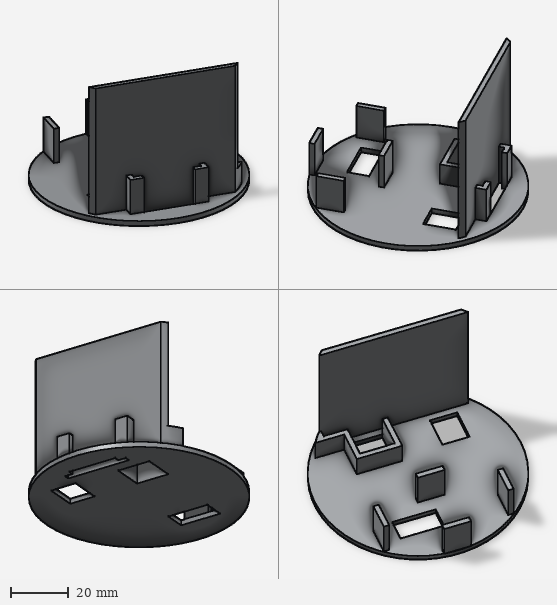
import cadquery as cq

disc_diameter = 76.2
thickness = 2.0
total_height = 50.0

trim_radius = 36.1
wall_left = 23.3
wall_right = wall_left + thickness
wall_height = total_height - thickness

slot_half_length = 12.5
slot_right = wall_right + 2 * thickness
clip_half_gap = 9.45
post_height = 13.0

window_left = 8.9
window_right = 20.8
upper_window_bottom = 5.1
upper_window_top = 18.0
lower_window_bottom = -22.55
lower_window_top = -slot_half_length
side_window_left = -25.8
side_window_right = -17.8
side_window_bottom = 0.4
side_window_top = 16.45

bracket_height = 8.0
arm_thickness = 1.8
arm_inner_top = 26.8

holder_x = -24.3
post_width = 10.0
post_offset_x = 12.6
post_offset_y = 23.0


def block(left, right, bottom, top, height, base=thickness):
    """Upright block between two X and two Y limits."""
    return (
        cq.Workplane("XY", origin=(left, bottom, base))
        .box(right - left, top - bottom, height, centered=False)
    )


def through_window(left, right, bottom, top):
    """Cutter through the full thickness of the disc."""
    return block(left, right, bottom, top, thickness, base=0)


def trimmed(body):
    """Keep only the part of a body inside the trimming circle."""
    return body.intersect(cq.Workplane("XY").circle(trim_radius).extrude(total_height))


def make_disc():
    disc = cq.Workplane("XY").circle(disc_diameter / 2).extrude(thickness)
    disc = disc.cut(through_window(window_left, window_right, upper_window_bottom, upper_window_top))
    disc = disc.cut(through_window(window_left, window_right, lower_window_bottom, lower_window_top))
    disc = disc.cut(
        through_window(side_window_left, side_window_right, side_window_bottom, side_window_top)
    )
    return disc.cut(through_window(wall_right, slot_right, -clip_half_gap, clip_half_gap)).cut(
        through_window(wall_right, slot_right - thickness, -slot_half_length, slot_half_length)
    )


def make_wall():
    return trimmed(block(wall_left, wall_right, -trim_radius, trim_radius, wall_height))


def make_bracket():
    """Three-sided frame around the window, with an arm returning to the wall."""
    arm_left = window_right - arm_thickness
    frame_left = window_left - thickness
    frame_bottom = upper_window_bottom - thickness
    frame_top = upper_window_top + thickness
    frame = block(frame_left, window_right, frame_bottom, frame_top, bracket_height).cut(
        block(window_left, window_right, upper_window_bottom, upper_window_top, bracket_height)
    )
    arm = block(arm_left, wall_left, upper_window_top, trim_radius, bracket_height).cut(
        block(window_right, wall_left, upper_window_top, arm_inner_top, bracket_height)
    )
    return frame.union(trimmed(arm))


def make_clip():
    """L-shaped clip at the +Y end of the slot."""
    clip_top = slot_half_length + thickness
    return block(wall_right, slot_right, clip_half_gap, clip_top, post_height).cut(
        block(wall_right, slot_right - thickness, clip_half_gap, slot_half_length, post_height)
    )


def make_post(x, y, size_x, size_y):
    return block(x - size_x / 2, x + size_x / 2, y - size_y / 2, y + size_y / 2, post_height)


clip = make_clip()
result = make_disc().union(make_wall()).union(make_bracket())
result = result.union(clip).union(clip.mirror("XZ"))
for side in (-1, 1):
    result = result.union(make_post(holder_x + side * post_offset_x, 0, thickness, post_width))
    result = result.union(make_post(holder_x, side * post_offset_y, post_width, thickness))